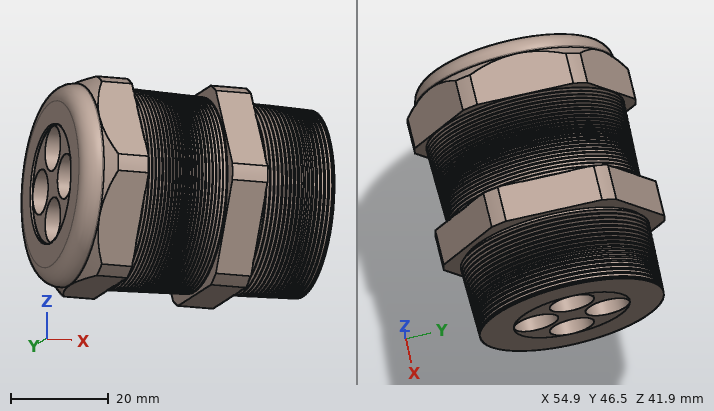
import cadquery as cq
import math

TOTAL_LENGTH = 54.85

HEX_SIDES = 6
HEX_FLATS = 41.9
HEX_CORNER_DIAMETER = 46.5
CAP_END = 13.05
COLLAR_START = 31.25
COLLAR_END = 38.9

CROWN_RADIUS = HEX_FLATS / 2
FACE_RADIUS = 17.15
CROWN_END = 4.15

FLANK_ANGLE = 30.0
RADIAL_TAPER = 1 / 32
CAP_THREAD_CREST = 20.85
CAP_THREAD_ROOT = 20.2
CAP_THREAD_FIRST = 13.5
CAP_THREAD_LAST = 31.05
CAP_THREAD_GROOVES = 24
ENTRY_THREAD_CREST = 19.85
ENTRY_THREAD_ROOT = 19.15
ENTRY_THREAD_FIRST = 40.15
ENTRY_THREAD_LAST = 54.4
ENTRY_THREAD_GROOVES = 17

RUNOUT_END = 39.7

MOUTH_RADIUS = 12.4
INSERT_RADIUS = 12.25
INSERT_RECESS = 0.5
CABLE_HOLE_RADIUS = 4.65
CABLE_HOLE_OFFSET = 7.5
CABLE_HOLE_COUNT = 4


def revolve_profile(profile):
    """Revolve an (x, radius) profile around the X axis."""
    return profile.close().revolve(360, (0, 0, 0), (1, 0, 0))


def cylinder(start, end, radius):
    """Solid cylinder along X."""
    return cq.Workplane("YZ").workplane(offset=start).circle(radius).extrude(end - start)


def hexagon(start, end):
    """Hexagonal prism along X with corners on +-Y, its corners turned down to a cylinder."""
    across_corners = HEX_FLATS / math.cos(math.pi / HEX_SIDES)
    prism = cq.Workplane("YZ").workplane(offset=start).polygon(HEX_SIDES, across_corners).extrude(end - start)
    return prism.intersect(cylinder(start, end, HEX_CORNER_DIAMETER / 2))


def make_cap():
    """Hexagonal cap with a rounded crown and a 45 degree chamfer behind it."""
    crown_fillet = CROWN_RADIUS - FACE_RADIUS
    crown = revolve_profile(
        cq.Workplane("XZ")
        .lineTo(0, FACE_RADIUS)
        .radiusArc((crown_fillet, CROWN_RADIUS), crown_fillet)
        .lineTo(CROWN_END, CROWN_RADIUS)
        .lineTo(CROWN_END, 0)
    )
    corner_radius = HEX_CORNER_DIAMETER / 2
    chamfer_end = CROWN_END + corner_radius - CROWN_RADIUS
    turned_envelope = revolve_profile(
        cq.Workplane("XZ")
        .moveTo(CROWN_END, 0)
        .lineTo(CROWN_END, CROWN_RADIUS)
        .lineTo(chamfer_end, corner_radius)
        .lineTo(CAP_END, corner_radius)
        .lineTo(CAP_END, 0)
    )
    return crown.union(hexagon(CROWN_END, CAP_END).intersect(turned_envelope))


def make_thread(start, end, crest_radius, root_radius, first_groove, last_groove, groove_count):
    """Tapered ring thread; the crest flats widen and the grooves get shallower toward +X."""
    pitch = (last_groove - first_groove) / (groove_count - 1)
    flank_slope = math.tan(math.radians(FLANK_ANGLE))

    def crest_at(x):
        return crest_radius - (x - start) * RADIAL_TAPER

    profile = cq.Workplane("XZ").moveTo(start, 0).lineTo(start, crest_at(start))
    for index in range(groove_count):
        root_x = first_groove + index * pitch
        half_width = (crest_at(root_x) - root_radius) * flank_slope
        left = root_x - half_width
        right = root_x + half_width
        profile = profile.lineTo(left, crest_at(left))
        profile = profile.lineTo(root_x, root_radius)
        profile = profile.lineTo(right, crest_at(right))
    profile = profile.lineTo(end, crest_at(end)).lineTo(end, 0)
    return revolve_profile(profile)


def make_housing():
    """Cap, collar and both threads as one body, bored through along X."""
    cap_thread = make_thread(
        CAP_END,
        COLLAR_START,
        CAP_THREAD_CREST,
        CAP_THREAD_ROOT,
        CAP_THREAD_FIRST,
        CAP_THREAD_LAST,
        CAP_THREAD_GROOVES,
    )
    entry_thread = make_thread(
        RUNOUT_END,
        TOTAL_LENGTH,
        ENTRY_THREAD_CREST,
        ENTRY_THREAD_ROOT,
        ENTRY_THREAD_FIRST,
        ENTRY_THREAD_LAST,
        ENTRY_THREAD_GROOVES,
    )
    neck_arc_radius = RUNOUT_END - COLLAR_END
    neck = revolve_profile(
        cq.Workplane("XZ")
        .moveTo(COLLAR_END, 0)
        .lineTo(COLLAR_END, ENTRY_THREAD_CREST - neck_arc_radius)
        .radiusArc((RUNOUT_END, ENTRY_THREAD_CREST), -neck_arc_radius)
        .lineTo(RUNOUT_END, 0)
    )
    housing = make_cap().union(cap_thread).union(hexagon(COLLAR_START, COLLAR_END))
    housing = housing.union(neck).union(entry_thread)
    insert_bore = cylinder(0, TOTAL_LENGTH, INSERT_RADIUS)
    mouth_recess = cylinder(0, INSERT_RECESS, MOUTH_RADIUS)
    return housing.cut(insert_bore).cut(mouth_recess)


def make_insert():
    """Sealing insert with a ring of cable holes running right through it."""
    body = cylinder(INSERT_RECESS, TOTAL_LENGTH, INSERT_RADIUS)
    cable_holes = (
        cq.Workplane("YZ")
        .polarArray(CABLE_HOLE_OFFSET, 0, 360, CABLE_HOLE_COUNT)
        .circle(CABLE_HOLE_RADIUS)
        .extrude(TOTAL_LENGTH)
    )
    return body.cut(cable_holes)


housing = make_housing()
insert = make_insert()
result = cq.Compound.makeCompound([housing.val(), insert.val()])